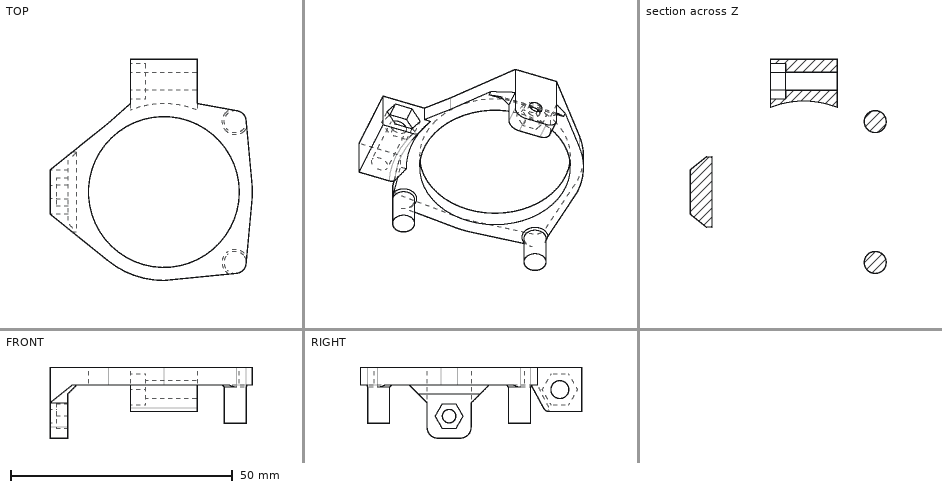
import cadquery as cq
import math

bore_diameter = 34
rim_radius = 20
plate_thickness = 4

pin_radius = 2.5
pin_x = 16.1
pin_y = 15.9
pin_bottom = -12.6
pin_foot = 0.45

tab_outer_x = -25.7
tab_thickness = 4
tab_width = 10
tab_bottom = -16
tab_corner_radius = 2.5
tab_hole_diameter = 3
tab_hole_z = -11
tab_nut_corner_diameter = 6.3
tab_nut_depth = 2.5
side_gusset = 4
inner_gusset = 2

block_width = 15.1
block_outer_y = 30
block_root_y = 20
block_height = 10
block_cone_bottom_radius = 23
block_edge_radius = 1.5
screw_diameter = 4
nut_corner_diameter = 8
nut_depth = 3.4

tab_inner_x = tab_outer_x + tab_thickness
screw_y = (block_root_y + block_outer_y) / 2
screw_z = -block_height / 2


def polar(center, radius, angle):
    """Point on a circle, at an angle in radians."""
    return (center[0] + radius * math.cos(angle), center[1] + radius * math.sin(angle))


def tangent_angle(point, center, radius, side):
    """Angle on the circle where a line from an outside point touches it."""
    dx = point[0] - center[0]
    dy = point[1] - center[1]
    return math.atan2(dy, dx) + side * math.acos(radius / math.hypot(dx, dy))


def arc_points(center, radius, start, end):
    """Start, middle and end points of an arc."""
    return [polar(center, radius, angle) for angle in (start, (start + end) / 2, end)]


def plate_outline(height):
    """Outer outline of the plate, extruded downwards from Z = 0."""
    origin = (0, 0)
    upper_pin = (pin_x, pin_y)
    lower_pin = (pin_x, -pin_y)
    tab_upper = (tab_outer_x, tab_width / 2)
    tab_lower = (tab_outer_x, -tab_width / 2)
    block_corner = (block_width / 2, block_root_y)
    rim_bottom = (0, -rim_radius)

    flank = math.atan2(pin_y, pin_x) - math.acos((rim_radius - pin_radius) / math.hypot(pin_x, pin_y))
    upper_touch = tangent_angle(block_corner, upper_pin, pin_radius, -1)
    lower_touch = tangent_angle(rim_bottom, lower_pin, pin_radius, 1)
    upper_corner = arc_points(upper_pin, pin_radius, upper_touch, flank)
    right_rim = arc_points(origin, rim_radius, flank, -flank)
    lower_corner = arc_points(lower_pin, pin_radius, -flank, lower_touch)

    tab_touch = tangent_angle(tab_lower, origin, rim_radius, 1)
    lower_rim = arc_points(origin, rim_radius, -math.pi / 2, tab_touch)
    upper_rim_touch = (lower_rim[2][0], -lower_rim[2][1])

    return (
        cq.Workplane("XY")
        .moveTo(*block_corner)
        .lineTo(*upper_corner[0])
        .threePointArc(*upper_corner[1:])
        .lineTo(*right_rim[0])
        .threePointArc(*right_rim[1:])
        .lineTo(*lower_corner[0])
        .threePointArc(*lower_corner[1:])
        .lineTo(*rim_bottom)
        .threePointArc(*lower_rim[1:])
        .lineTo(*tab_lower)
        .lineTo(*tab_upper)
        .lineTo(*upper_rim_touch)
        .lineTo(-block_width / 2, block_root_y)
        .close()
        .extrude(-height)
    )


def pin(y):
    """Pin running up to the plate top, with a small conical foot below the plate."""
    shaft = cq.Workplane("XY").center(pin_x, y).circle(pin_radius).extrude(pin_bottom)
    foot = (
        cq.Workplane("XY", origin=(pin_x, y, -plate_thickness))
        .circle(pin_radius + pin_foot)
        .workplane(offset=-pin_foot)
        .circle(pin_radius)
        .loft()
    )
    return shaft.union(foot.intersect(plate_outline(-pin_bottom)))


def tab():
    """Hanging tab with rounded lower corners."""
    return (
        cq.Workplane("XY")
        .box(tab_thickness, tab_width, -tab_bottom, centered=(False, True, False))
        .translate((tab_outer_x, 0, tab_bottom))
        .edges("|X and <Z")
        .fillet(tab_corner_radius)
    )


def tab_gusset():
    """Sloped reinforcement beside and behind the tab, trimmed to the plate outline."""
    half_width = tab_width / 2
    side_profile = (
        cq.Workplane("YZ", origin=(tab_outer_x, 0, 0))
        .moveTo(-half_width - side_gusset, -plate_thickness)
        .lineTo(-half_width, -plate_thickness - side_gusset)
        .lineTo(half_width, -plate_thickness - side_gusset)
        .lineTo(half_width + side_gusset, -plate_thickness)
        .close()
        .extrude(tab_thickness + inner_gusset)
    )
    inner_profile = (
        cq.Workplane("XZ")
        .moveTo(tab_outer_x, -plate_thickness)
        .lineTo(tab_outer_x, tab_bottom)
        .lineTo(tab_inner_x, tab_bottom)
        .lineTo(tab_inner_x, -plate_thickness - inner_gusset)
        .lineTo(tab_inner_x + inner_gusset, -plate_thickness)
        .close()
        .extrude(half_width + side_gusset, both=True)
    )
    return side_profile.intersect(inner_profile).intersect(plate_outline(-tab_bottom))


def clamp_block():
    """Block whose overhang below the plate is cut back by a cone around the Z axis."""
    cone = (
        cq.Workplane("XY", origin=(0, 0, -plate_thickness))
        .circle(rim_radius)
        .workplane(offset=plate_thickness - block_height)
        .circle(block_cone_bottom_radius)
        .loft()
    )
    lower_part = (
        cq.Workplane("XY", origin=(0, block_outer_y / 2, -plate_thickness))
        .rect(block_width, block_outer_y)
        .extrude(plate_thickness - block_height)
        .cut(cone)
        .faces("<Z")
        .edges("<Y")
        .fillet(block_edge_radius)
    )
    upper_part = (
        cq.Workplane("XY", origin=(0, (block_root_y + block_outer_y) / 2, 0))
        .rect(block_width, block_outer_y - block_root_y)
        .extrude(-plate_thickness)
    )
    return lower_part.union(upper_part)


def cross_hole(x, y, z, diameter, length):
    """Cylinder along +X for drilling."""
    return cq.Workplane("YZ", origin=(x, y, z)).circle(diameter / 2).extrude(length)


def nut_pocket(x, y, z, corner_diameter, depth):
    """Hexagonal pocket running along X, with two corners along Y; a negative depth cuts towards -X."""
    return cq.Workplane("YZ", origin=(x, y, z)).polygon(6, corner_diameter).extrude(depth)


result = plate_outline(plate_thickness)
result = result.union(tab()).union(tab_gusset()).union(clamp_block())
for side in (-1, 1):
    result = result.union(pin(side * pin_y))

result = result.cut(cq.Workplane("XY").circle(bore_diameter / 2).extrude(-plate_thickness))
result = result.cut(cross_hole(tab_outer_x, 0, tab_hole_z, tab_hole_diameter, tab_thickness))
result = result.cut(cross_hole(-block_width / 2, screw_y, screw_z, screw_diameter, block_width))
result = result.cut(nut_pocket(tab_inner_x, 0, tab_hole_z, tab_nut_corner_diameter, -tab_nut_depth))
result = result.cut(nut_pocket(-block_width / 2, screw_y, screw_z, nut_corner_diameter, nut_depth))